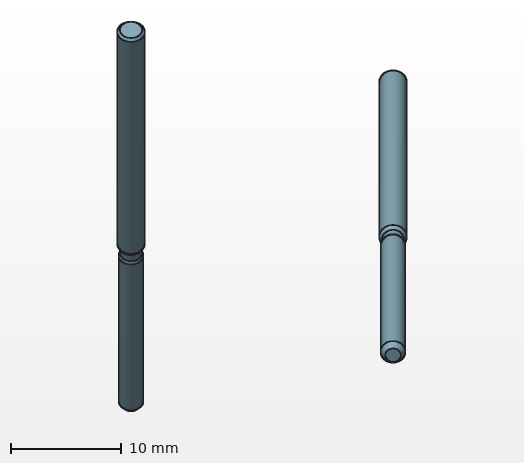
import cadquery as cq

total_length = 50.0

barrel_radius = 1.25
barrel_top_chamfer_width = 0.25
barrel_top_chamfer_height = 0.25
barrel_nose_height = 0.45
barrel_bottom_z = 21.1

plunger_radius = 1.125
neck_radius = 1.0
neck_length = 0.8
shoulder_height = 0.3
tip_radius = 0.7
tip_height = 0.6


def revolve_about_z(outline):
    """Turn a (radius, z) outline one full turn around Z."""
    profile = cq.Workplane("XZ").polyline(outline).close()
    return profile.revolve(360, (0, 0), (0, 1))


def make_barrel():
    """Rod with a chamfered top and a nose that narrows to the neck."""
    return revolve_about_z([
        (0, barrel_bottom_z),
        (neck_radius, barrel_bottom_z),
        (barrel_radius, barrel_bottom_z + barrel_nose_height),
        (barrel_radius, total_length - barrel_top_chamfer_height),
        (barrel_radius - barrel_top_chamfer_width, total_length),
        (0, total_length),
    ])


def make_plunger():
    """Rod with a conical tip, a sloped shoulder and a neck ending at the barrel."""
    neck_bottom_z = barrel_bottom_z - neck_length
    return revolve_about_z([
        (0, 0),
        (tip_radius, 0),
        (plunger_radius, tip_height),
        (plunger_radius, neck_bottom_z - shoulder_height),
        (neck_radius, neck_bottom_z),
        (neck_radius, barrel_bottom_z),
        (0, barrel_bottom_z),
    ])


barrel = make_barrel()
plunger = make_plunger()
result = cq.Compound.makeCompound([barrel.val(), plunger.val()])